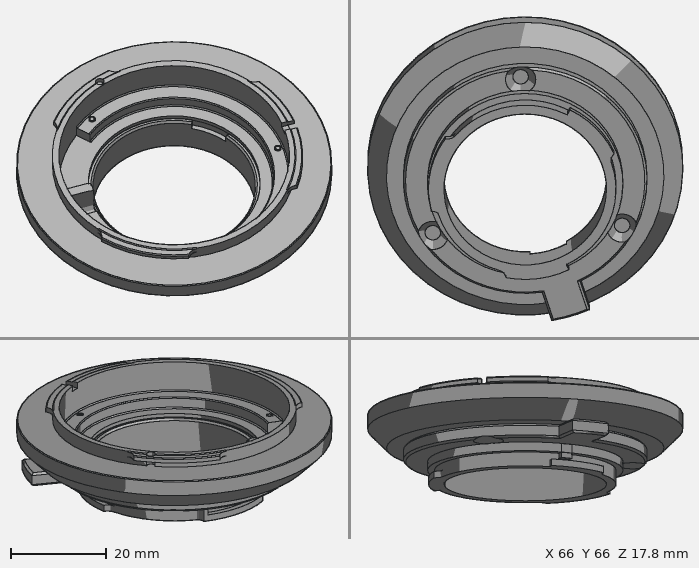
import cadquery as cq
import math

barrel_lug_top = 1.4
stop_key_bottom = 1.85
collar_bottom = 3.0
collar_top = 4.8
flange_bottom = 7.8
barrel_top = 7.9
floor_top = 8.7
shelf_top = 11.2
flange_cone_top = 11.75
prong_top = 14.65
flange_top = 15.05
housing_lug_bottom = 16.55
housing_lug_top = 17.6
housing_top = 17.8

flange_radius = 33.0
flange_cone_radius = 29.05
ring_radius = 51.0 / 2
housing_bore_radius = 48.25 / 2
housing_lug_radius = 26.9
shelf_inner_radius = 20.8
collar_radius = 20.45
barrel_lug_radius = 20.25
barrel_radius = 19.0
plate_bore_radius = 36.0 / 2
barrel_bore_radius = 34.0 / 2

flange_chamfer = 0.2
plate_chamfer = 0.45
small_chamfer = 0.23

slot_width = 2.05
lock_hole_diameter = 1.8
lock_hole_place = (25.3, 199.4)
housing_lug_taper = 4.2
housing_lugs = [(50.0, 124.0), (188.0, 235.5), (302.8, 352.0)]

overcut = 0.65

hollow_height = 0.35
hollow_reach = 0.65

barrel_lug_taper = 5.0
barrel_stop_taper = 2.6
barrel_lugs = [
    (225.7, 281.8, barrel_stop_taper),
    (125.5, 168.8, 0.0),
    (0.0, 44.0, 0.0),
]
barrel_stop_end = 231.0
barrel_bore_chamfer = 0.43
barrel_notch = (122.0, 149.0)
barrel_notch_depth = 1.7

tab_angle = 135.0
tab_width = 8.3
tab_radius = 32.15
tab_root_radius = 23.75
stop_key_width = 2.4
stop_key_inner = 18.5
stop_key_outer = 20.25

screw_circle_radius = 22.9
screw_angles = [90.0, 210.0, 330.0]
screw_diameter = 1.4
screw_head_diameter = 3.25
countersink_diameter = 6.35

shelf_ends = (-39.5, 219.5)
shelf_blend = 0.25
prong_width = 2.05
prong_inner = 18.1
prong_outer = 24.0
prong_foot_radius = 1.1
prong_bevel_length = 1.0
prong_bevel_drop = 0.25


def polar(radius, angle):
    a = math.radians(angle)
    return (radius * math.cos(a), radius * math.sin(a))


def revolved(profile):
    """Full turn about Z of a closed (radius, z) outline."""
    return cq.Workplane("XZ").polyline(profile).close().revolve(360, (0, 0, 0), (0, 1, 0))


def sector(inner, outer, start, end, bottom, top, start_taper=0.0, end_taper=0.0):
    """Prism between two radii and two angles; a tapered end is a hollow curve that leans back at its tip."""
    tip_start = start + start_taper
    tip_end = end - end_taper
    hollow_radius = inner + hollow_height * (outer - inner)
    outline = cq.Workplane("XY", origin=(0, 0, bottom)).moveTo(*polar(inner, start))
    if start_taper:
        hollow = polar(hollow_radius, start + hollow_reach * start_taper)
        outline = outline.threePointArc(hollow, polar(outer, tip_start))
    else:
        outline = outline.lineTo(*polar(outer, start))
    outline = outline.threePointArc(polar(outer, (tip_start + tip_end) / 2), polar(outer, tip_end))
    if end_taper:
        hollow = polar(hollow_radius, end - hollow_reach * end_taper)
        outline = outline.threePointArc(hollow, polar(inner, end))
    else:
        outline = outline.lineTo(*polar(inner, end))
    outline = outline.threePointArc(polar(inner, (start + end) / 2), polar(inner, start))
    return outline.close().extrude(top - bottom)


def box_between(x0, x1, y0, y1, z0, z1):
    return cq.Workplane("XY").box(x1 - x0, y1 - y0, z1 - z0, centered=False).translate((x0, y0, z0))


def at_screws(tool):
    """Copies of a tool drawn on the Z axis, one at each screw."""
    return [tool.translate((*polar(screw_circle_radius, angle), 0)) for angle in screw_angles]


def make_shelf():
    ring = revolved([
        (shelf_inner_radius - shelf_blend, floor_top),
        (housing_bore_radius, floor_top),
        (housing_bore_radius, shelf_top + shelf_blend),
        (housing_bore_radius - shelf_blend, shelf_top),
        (shelf_inner_radius + small_chamfer, shelf_top),
        (shelf_inner_radius, shelf_top - small_chamfer),
        (shelf_inner_radius, floor_top + shelf_blend),
    ])
    span = sector(barrel_radius, housing_bore_radius, *shelf_ends, floor_top, shelf_top + shelf_blend)
    return ring.intersect(span)


def make_housing():
    body = revolved([
        (plate_bore_radius, flange_bottom),
        (flange_cone_radius, flange_bottom),
        (flange_radius, flange_cone_top),
        (flange_radius, flange_top - flange_chamfer),
        (flange_radius - flange_chamfer, flange_top),
        (ring_radius, flange_top),
        (ring_radius, housing_top),
        (housing_bore_radius, housing_top),
        (housing_bore_radius, floor_top),
        (plate_bore_radius, floor_top),
    ])
    body = body.union(make_shelf())

    bevel_inner = ring_radius - small_chamfer
    rim_bevel = revolved([
        (bevel_inner, housing_top),
        (ring_radius, housing_lug_top),
        (ring_radius, housing_top),
    ])
    tip_bevel = revolved([
        (housing_lug_radius - small_chamfer, housing_lug_top),
        (housing_lug_radius, housing_lug_top - small_chamfer),
        (housing_lug_radius, housing_lug_top),
    ])
    for start, end in housing_lugs:
        lug = sector(
            ring_radius, housing_lug_radius, start, end, housing_lug_bottom, housing_lug_top,
            housing_lug_taper, housing_lug_taper,
        )
        bevel_span = sector(
            bevel_inner - overcut, ring_radius + overcut, start, end, housing_lug_bottom, housing_top
        )
        body = body.cut(rim_bevel.intersect(bevel_span)).union(lug.cut(tip_bevel))

    half_slot = slot_width / 2
    slot = box_between(-half_slot, half_slot, 0, flange_radius, housing_lug_bottom, housing_top)
    lock_hole = (
        cq.Workplane("XY", origin=(*polar(*lock_hole_place), flange_top))
        .circle(lock_hole_diameter / 2)
        .extrude(housing_top - flange_top)
    )
    body = body.cut(slot).cut(lock_hole)
    screw_hole = (
        cq.Workplane("XY", origin=(0, 0, flange_bottom))
        .circle(screw_diameter / 2)
        .extrude(shelf_top - flange_bottom)
    )
    for hole in at_screws(screw_hole):
        body = body.cut(hole)
    return body


def make_plate():
    plate = revolved([
        (plate_bore_radius, collar_top),
        (ring_radius - plate_chamfer, collar_top),
        (ring_radius, collar_top + plate_chamfer),
        (ring_radius, flange_bottom - plate_chamfer),
        (ring_radius - plate_chamfer, flange_bottom),
        (plate_bore_radius, flange_bottom),
    ])
    tab_disc = revolved([
        (tab_root_radius, collar_top),
        (tab_radius - plate_chamfer, collar_top),
        (tab_radius, collar_top + plate_chamfer),
        (tab_radius, flange_bottom - plate_chamfer),
        (tab_radius - plate_chamfer, flange_bottom),
        (tab_root_radius, flange_bottom),
    ])
    tab_bar = box_between(0, flange_radius, -tab_width / 2, tab_width / 2, collar_top, flange_bottom)
    tab_bar = tab_bar.edges("|X").chamfer(plate_chamfer)
    tab = tab_disc.intersect(tab_bar.rotate((0, 0, 0), (0, 0, 1), tab_angle))
    plate = plate.union(tab)

    cone_height = (countersink_diameter - screw_diameter) / 2
    screw_hole = revolved([
        (0, collar_top),
        (countersink_diameter / 2, collar_top),
        (screw_diameter / 2, collar_top + cone_height),
        (screw_diameter / 2, flange_bottom),
        (0, flange_bottom),
    ])
    for hole in at_screws(screw_hole):
        plate = plate.cut(hole)
    return plate


def make_stop_key():
    half_width = stop_key_width / 2
    key = box_between(stop_key_inner, stop_key_outer, -half_width, half_width, stop_key_bottom, collar_top)
    return key.rotate((0, 0, 0), (0, 0, 1), tab_angle)


def make_barrel(stop_key):
    barrel = revolved([
        (barrel_bore_radius, 0),
        (barrel_radius, 0),
        (barrel_radius, collar_bottom),
        (collar_radius, collar_bottom),
        (collar_radius, collar_top),
        (plate_bore_radius, collar_top),
        (plate_bore_radius, barrel_top),
        (barrel_bore_radius + barrel_bore_chamfer, barrel_top),
        (barrel_bore_radius, barrel_top - barrel_bore_chamfer),
    ])
    for start, end, start_taper in barrel_lugs:
        lug = sector(
            barrel_radius, barrel_lug_radius, start, end, 0, barrel_lug_top, start_taper, barrel_lug_taper
        )
        barrel = barrel.union(lug)
    stop_start = barrel_lugs[0][0]
    stop = sector(
        barrel_radius, barrel_lug_radius, stop_start, barrel_stop_end, 0, collar_bottom, barrel_stop_taper
    )
    notch_bottom = barrel_top - barrel_notch_depth
    notch = sector(
        barrel_bore_radius - overcut, plate_bore_radius + overcut, *barrel_notch, notch_bottom, barrel_top
    )
    return barrel.union(stop).cut(notch).cut(stop_key)


def make_screws():
    head_bottom = collar_top + (countersink_diameter - screw_head_diameter) / 2
    head_top = collar_top + (countersink_diameter - screw_diameter) / 2
    shank_radius = screw_diameter / 2
    screw = revolved([
        (0, head_bottom),
        (screw_head_diameter / 2, head_bottom),
        (shank_radius, head_top),
        (shank_radius, shelf_top - small_chamfer),
        (shank_radius - small_chamfer, shelf_top),
        (0, shelf_top),
    ])
    return at_screws(screw)


def make_prong():
    half_width = prong_width / 2
    foot_half = half_width + prong_foot_radius
    foot_top = floor_top + prong_foot_radius
    arc_offset = prong_foot_radius * (1 - math.sqrt(0.5))
    arc_x = half_width + arc_offset
    arc_z = floor_top + arc_offset
    prong = (
        cq.Workplane("XZ", origin=(0, -prong_inner, 0))
        .moveTo(-foot_half, floor_top)
        .lineTo(foot_half, floor_top)
        .threePointArc((arc_x, arc_z), (half_width, foot_top))
        .lineTo(half_width, prong_top)
        .lineTo(-half_width, prong_top)
        .lineTo(-half_width, foot_top)
        .threePointArc((-arc_x, arc_z), (-foot_half, floor_top))
        .close()
        .extrude(prong_outer - prong_inner)
    )
    bevel = (
        cq.Workplane("YZ", origin=(-foot_half, 0, 0))
        .polyline([
            (-prong_inner, prong_top),
            (-prong_inner - prong_bevel_length, prong_top),
            (-prong_inner, prong_top - prong_bevel_drop),
        ])
        .close()
        .extrude(2 * foot_half)
    )
    return prong.cut(bevel)


housing = make_housing()
plate = make_plate()
stop_key = make_stop_key()
barrel = make_barrel(stop_key)
screws = make_screws()
prong = make_prong()

result = cq.Compound.makeCompound([
    housing.solids().val(),
    plate.solids().val(),
    barrel.solids().val(),
    stop_key.solids().val(),
    prong.solids().val(),
    *[screw.solids().val() for screw in screws],
])